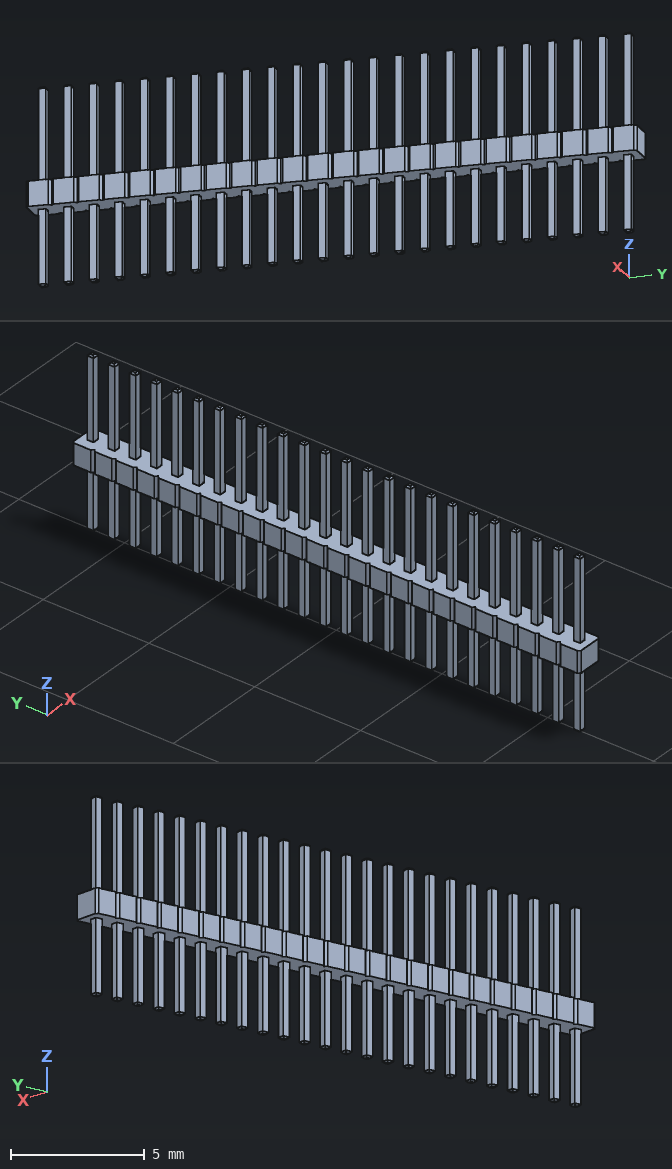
import cadquery as cq

total_length = 24.0
pin_count = 24
body_width = 1.27
pin_length = 7.8
tail_length = 3.0
tip_side = 0.155
tip_chamfer = 0.07
corner_chamfer = 0.1

pitch = total_length / pin_count
body_height = pitch
pin_side = tip_side + 2 * tip_chamfer
pin_bottom = -tail_length - body_height / 2


def pin_centers_y():
    """Y coordinates of the pin centres."""
    first = -(pin_count - 1) * pitch / 2
    return [first + index * pitch for index in range(pin_count)]


def make_body():
    """Insulator strip with every cell chamfered on its vertical corners."""
    half_width = body_width / 2
    half_length = total_length / 2
    right_side = []
    for center_y in pin_centers_y():
        cell_start = center_y - pitch / 2
        cell_end = center_y + pitch / 2
        right_side += [
            (half_width - corner_chamfer, cell_start),
            (half_width, cell_start + corner_chamfer),
            (half_width, cell_end - corner_chamfer),
        ]
    right_side.append((half_width - corner_chamfer, half_length))
    left_side = [(-x, y) for x, y in reversed(right_side)]
    return (
        cq.Workplane("XY")
        .workplane(offset=-body_height / 2)
        .polyline(right_side + left_side)
        .close()
        .extrude(body_height)
    )


def make_pin():
    """Square pin centred on the Z axis, chamfered at both tips."""
    return (
        cq.Workplane("XY")
        .workplane(offset=pin_bottom)
        .box(pin_side, pin_side, pin_length, centered=(True, True, False))
        .faces("<Z or >Z")
        .chamfer(tip_chamfer)
    )


result = make_body()
pin = make_pin()
for center_y in pin_centers_y():
    result = result.union(pin.translate((0, center_y, 0)))